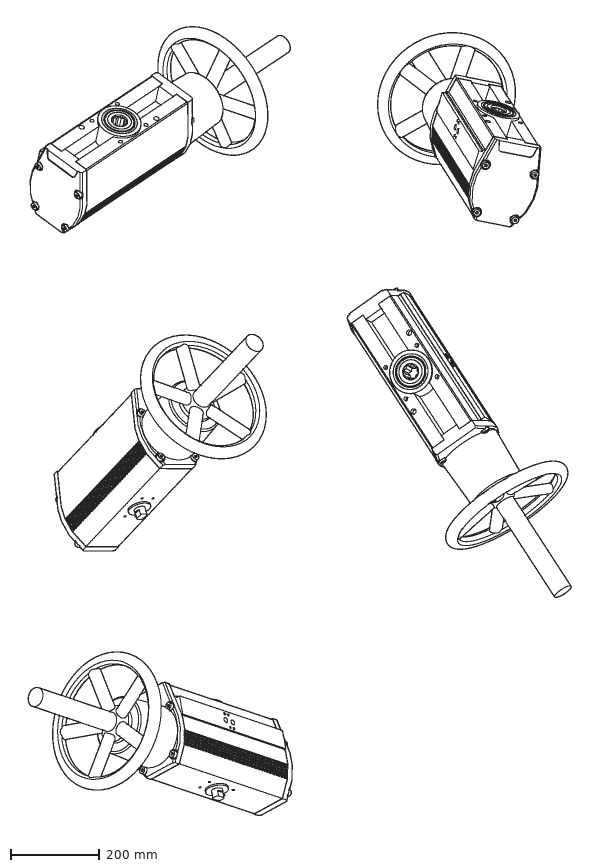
import cadquery as cq
import math


ROLL_ABOUT_Y = 16.0
PITCH_ABOUT_X = 4.2
YAW_ABOUT_Z = -3.6

WHEEL_DIAMETER = 321.0
RIM_OUTER_DEPTH = 15.0
RIM_INNER_DEPTH = 14.0
RIM_THICKNESS = 27.0
RIM_SHOULDER_THICKNESS = 25.0
RIM_INNER_THICKNESS = 13.0
SPOKE_COUNT = 5
SPOKE_START_ANGLE = 12.5
SPOKE_WIDTH = 34.0
SPOKE_THICKNESS = 21.0
HUB_RADIUS = 42.5
HUB_COLLAR_LENGTH = 11.0
HUB_LENGTH = 30.0

TUBE_DIAMETER = 45.0
TUBE_END = 242.0
HOUSING_FRONT = -38.0
HOUSING_FRONT_RADIUS = 66.5
HOUSING_BACK_RADIUS = 72.0
HOUSING_CHAMFER = 4.0

BODY_FRONT = -159.0
BODY_LENGTH = 388.0
PLATE_THICKNESS = 19.0
PLATE_OVERHANG = 1.0
PLATE_CHAMFER = 4.0
TOP_EDGE_CHAMFER = 2.5
BODY_BACK = BODY_FRONT - BODY_LENGTH
BODY_MIDDLE = BODY_FRONT - BODY_LENGTH / 2
MIDDLE_LENGTH = BODY_LENGTH - 2 * PLATE_THICKNESS
TOP_Z = 115.0
BOTTOM_Z = -84.0
MIDDLE_BOTTOM_Z = BOTTOM_Z + PLATE_OVERHANG
TOP_HALF_WIDTH = 56.0
SIDE_HALF_WIDTH = 77.0
SIDE_TOP_Z = 21.0
FIN_TOP_Z = -10.0
FIN_BOTTOM_Z = -45.0
FIN_BOTTOM_HALF_WIDTH = 68.0
BOTTOM_HALF_WIDTH = 44.0
FIN_GROOVE_COUNT = 5
FIN_GROOVE_WIDTH = 4.0
FIN_GROOVE_DEPTH = 4.0

CHANNEL_WIDTH = 43.0
CHANNEL_DEPTH = 48.0
TONGUE_LENGTH = 12.0

FLANGE_RINGS = ((50.0, 5.0), (41.0, 6.0), (27.0, 6.5))
FLANGE_GROOVE_RADIUS = 34.5
FLANGE_GROOVE_WIDTH = 2.5
BORE_SQUARE = 26.0
BORE_DEPTH = 48.0
BORE_ENTRY_RADIUS = 18.5
BORE_ENTRY_DEPTH = 5.0
BOLT_SPACING = 87.5
BOLT_HOLE_DIAMETER = 9.0
PIN_OFFSET_X = 45.0
PIN_OFFSET_Y = 79.0
PIN_HOLE_DIAMETER = 12.0
HOLE_DEPTH = 16.0

PAD_X = -79.0
PAD_TOP_Z = 74.0
PAD_BOTTOM_Z = 27.0
PAD_STEP_X = -70.0
PAD_STEP_HEIGHT = 4.0
PORT_Y = -342.0
PORT_SPACING = 24.0
PORT_DIAMETER = 12.0
VALVE_SCREW_OFFSET_Y = 12.0
VALVE_SCREW_OFFSET_Z = 16.0
VALVE_SCREW_DIAMETER = 5.0

BEARING_RADIUS = 26.5
BEARING_HEIGHT = 4.0
PINION_RADIUS = 13.0
PINION_HEIGHT = 24.0
PINION_FLAT_WIDTH = 18.0
PINION_FLAT_HEIGHT = 13.0
BOTTOM_HOLE_SPACING_X = 30.0
BOTTOM_HOLE_SPACING_Y = 80.0
BOTTOM_HOLE_DIAMETER = 5.0

UPPER_SCREW = (60.0, 50.5)
LOWER_SCREW = (46.5, -65.0)
SCREW_HEAD_RADIUS = 8.0
SCREW_POCKET_RADIUS = 11.0
SCREW_POCKET_DEPTH = 5.0
SCREW_PROTRUSION = 4.0
SOCKET_SIDES = 6
SOCKET_WIDTH = 6.5
SOCKET_DEPTH = 4.0
LABEL_HALF_WIDTH = 46.5
LABEL_HALF_WIDTH_LOW = 40.0
LABEL_CORNER_RADIUS = 8.0
LABEL_BOTTOM_Z = 89.0
LABEL_HEIGHT = 2.5


def section_plane(y):
    """Workplane across the spindle axis; extrusions run towards -Y."""
    return cq.Workplane("XZ", origin=(0, y, 0))


def cylinder_along_z(radius, height, bottom):
    plane = cq.Workplane("XY", origin=(0, BODY_MIDDLE, bottom))
    return plane.circle(radius).extrude(height)


def make_handwheel():
    outer_radius = WHEEL_DIAMETER / 2
    rim_radius = outer_radius - RIM_OUTER_DEPTH
    inner_radius = rim_radius - RIM_INNER_DEPTH
    shoulder_radius = (rim_radius + inner_radius) / 2
    wheel = (
        cq.Workplane("XY")
        .moveTo(rim_radius, -RIM_THICKNESS / 2)
        .threePointArc((outer_radius, 0), (rim_radius, RIM_THICKNESS / 2))
        .lineTo(shoulder_radius, RIM_SHOULDER_THICKNESS / 2)
        .lineTo(inner_radius, RIM_INNER_THICKNESS / 2)
        .lineTo(inner_radius, -RIM_INNER_THICKNESS / 2)
        .lineTo(shoulder_radius, -RIM_SHOULDER_THICKNESS / 2)
        .close()
        .revolve(360, (0, 0, 0), (0, 1, 0))
    )
    hub = (
        cq.Workplane("XY")
        .moveTo(0, HOUSING_FRONT)
        .lineTo(HUB_RADIUS, HOUSING_FRONT)
        .lineTo(HUB_RADIUS, HOUSING_FRONT + HUB_COLLAR_LENGTH)
        .lineTo(TUBE_DIAMETER / 2, HOUSING_FRONT + HUB_LENGTH)
        .lineTo(0, HOUSING_FRONT + HUB_LENGTH)
        .close()
        .revolve(360, (0, 0, 0), (0, 1, 0))
    )
    wheel = wheel.union(hub)
    hub_y = HOUSING_FRONT + HUB_COLLAR_LENGTH
    spoke_plane = cq.Plane(origin=(0, hub_y, 0), xDir=(0, 0, 1), normal=(rim_radius, -hub_y, 0))
    spoke = (
        cq.Workplane(spoke_plane)
        .ellipse(SPOKE_WIDTH / 2, SPOKE_THICKNESS / 2)
        .extrude(math.hypot(rim_radius, hub_y))
    )
    for index in range(SPOKE_COUNT):
        angle = SPOKE_START_ANGLE + index * 360 / SPOKE_COUNT
        wheel = wheel.union(spoke.rotate((0, 0, 0), (0, 1, 0), -angle))
    return wheel


def make_spindle_housing():
    tube = section_plane(TUBE_END).circle(TUBE_DIAMETER / 2).extrude(TUBE_END - HOUSING_FRONT)
    housing = (
        cq.Workplane("XY")
        .moveTo(0, HOUSING_FRONT)
        .lineTo(HOUSING_FRONT_RADIUS - HOUSING_CHAMFER, HOUSING_FRONT)
        .lineTo(HOUSING_FRONT_RADIUS, HOUSING_FRONT - HOUSING_CHAMFER)
        .lineTo(HOUSING_BACK_RADIUS, BODY_FRONT)
        .lineTo(0, BODY_FRONT)
        .close()
        .revolve(360, (0, 0, 0), (0, 1, 0))
    )
    return tube.union(housing)


def body_outline(y):
    right_side = [
        (TOP_HALF_WIDTH, TOP_Z),
        (SIDE_HALF_WIDTH, SIDE_TOP_Z),
        (SIDE_HALF_WIDTH, FIN_TOP_Z),
        (FIN_BOTTOM_HALF_WIDTH, FIN_BOTTOM_Z),
        (BOTTOM_HALF_WIDTH, BOTTOM_Z),
    ]
    left_side = [(-x, z) for x, z in reversed(right_side)]
    return section_plane(y).polyline(right_side + left_side).close()


def make_middle_section():
    outline = body_outline(BODY_FRONT - PLATE_THICKNESS).offset2D(-PLATE_OVERHANG)
    section = outline.extrude(MIDDLE_LENGTH)
    return section.edges("|Y").edges(">Z").chamfer(TOP_EDGE_CHAMFER)


def make_end_plates():
    """End plates with chamfered sides and a tongue reaching into the channel."""
    front = body_outline(BODY_FRONT).extrude(PLATE_THICKNESS)
    front = front.faces(">Y").edges("not |X").chamfer(PLATE_CHAMFER)
    tongue = channel_block(TONGUE_LENGTH).translate(
        (0, BODY_FRONT - PLATE_THICKNESS - TONGUE_LENGTH / 2, 0)
    )
    front = front.union(tongue)
    return front.union(front.mirror("XZ", (0, BODY_MIDDLE, 0)))


def make_fin_grooves():
    """Lengthwise grooves in the fin faces of both sides, between the end plates."""
    centres = []
    for index in range(FIN_GROOVE_COUNT):
        fraction = (index + 0.5) / FIN_GROOVE_COUNT
        x = SIDE_HALF_WIDTH + fraction * (FIN_BOTTOM_HALF_WIDTH - SIDE_HALF_WIDTH)
        z = FIN_TOP_Z + fraction * (FIN_BOTTOM_Z - FIN_TOP_Z)
        centres += [(x, z), (-x, z)]
    return (
        section_plane(BODY_FRONT - PLATE_THICKNESS)
        .pushPoints(centres)
        .rect(2 * FIN_GROOVE_DEPTH, FIN_GROOVE_WIDTH)
        .extrude(MIDDLE_LENGTH)
    )


def channel_block(length):
    """Block with the channel's section, reaching up to the top of the end plates."""
    block = cq.Workplane("XY").box(CHANNEL_WIDTH, length, CHANNEL_DEPTH, centered=(True, True, False))
    return block.translate((0, 0, TOP_Z - CHANNEL_DEPTH))


def add_mounting_flange(body):
    flange_bottom = TOP_Z - CHANNEL_DEPTH
    for radius, height in FLANGE_RINGS:
        body = body.union(cylinder_along_z(radius, CHANNEL_DEPTH + height, flange_bottom))
    groove = (
        cq.Workplane("XY", origin=(0, BODY_MIDDLE, TOP_Z))
        .circle(FLANGE_GROOVE_RADIUS + FLANGE_GROOVE_WIDTH / 2)
        .circle(FLANGE_GROOVE_RADIUS - FLANGE_GROOVE_WIDTH / 2)
        .extrude(FLANGE_RINGS[1][1])
    )
    body = body.cut(groove)
    bore_top = TOP_Z + FLANGE_RINGS[-1][1]
    body = body.cut(cylinder_along_z(BORE_ENTRY_RADIUS, BORE_ENTRY_DEPTH, bore_top - BORE_ENTRY_DEPTH))
    for angle in (0, 45):
        square = (
            cq.Workplane("XY", origin=(0, BODY_MIDDLE, bore_top))
            .transformed(rotate=(0, 0, angle))
            .rect(BORE_SQUARE, BORE_SQUARE)
            .extrude(-BORE_DEPTH)
        )
        body = body.cut(square)
    face = cq.Workplane("XY", origin=(0, BODY_MIDDLE, TOP_Z))
    bolts = face.rect(BOLT_SPACING, BOLT_SPACING, forConstruction=True).vertices()
    body = body.cut(bolts.circle(BOLT_HOLE_DIAMETER / 2).extrude(-HOLE_DEPTH))
    pins = face.pushPoints([(PIN_OFFSET_X, PIN_OFFSET_Y), (-PIN_OFFSET_X, -PIN_OFFSET_Y)])
    return body.cut(pins.circle(PIN_HOLE_DIAMETER / 2).extrude(-HOLE_DEPTH))


def pad_block(outer_x, bottom_z, top_z):
    """Lengthwise strip on the -X side, rooted inside the body clear of the channel."""
    strip = cq.Workplane("XY").box(
        -TOP_HALF_WIDTH - outer_x, MIDDLE_LENGTH, top_z - bottom_z, centered=(False, True, False)
    )
    return strip.translate((outer_x, BODY_MIDDLE, bottom_z))


def add_valve_pad(body):
    body = body.union(pad_block(PAD_X, PAD_BOTTOM_Z, PAD_TOP_Z))
    body = body.union(pad_block(PAD_STEP_X, PAD_BOTTOM_Z, PAD_TOP_Z + PAD_STEP_HEIGHT))
    face = cq.Workplane("YZ", origin=(PAD_X, PORT_Y, (PAD_TOP_Z + PAD_BOTTOM_Z) / 2))
    ports = face.rarray(PORT_SPACING, 8, 2, 1).circle(PORT_DIAMETER / 2).extrude(HOLE_DEPTH)
    screw_points = [
        (VALVE_SCREW_OFFSET_Y, VALVE_SCREW_OFFSET_Z),
        (0, VALVE_SCREW_OFFSET_Z),
        (0, -VALVE_SCREW_OFFSET_Z),
        (-VALVE_SCREW_OFFSET_Y, -VALVE_SCREW_OFFSET_Z),
    ]
    screws = face.pushPoints(screw_points).circle(VALVE_SCREW_DIAMETER / 2).extrude(HOLE_DEPTH)
    return body.cut(ports).cut(screws)


def make_pinion():
    bearing = cylinder_along_z(BEARING_RADIUS, BEARING_HEIGHT, MIDDLE_BOTTOM_Z - BEARING_HEIGHT)
    tip_z = MIDDLE_BOTTOM_Z - PINION_HEIGHT
    shaft = cylinder_along_z(PINION_RADIUS, PINION_HEIGHT, tip_z)
    flats = (
        cq.Workplane("XY", origin=(0, BODY_MIDDLE, tip_z))
        .rect(2 * PINION_RADIUS, 2 * PINION_RADIUS)
        .rect(PINION_FLAT_WIDTH, 2 * PINION_RADIUS)
        .extrude(PINION_FLAT_HEIGHT)
    )
    return bearing.union(shaft.cut(flats))


def make_bottom_holes():
    return (
        cq.Workplane("XY", origin=(0, BODY_MIDDLE, MIDDLE_BOTTOM_Z))
        .rarray(BOTTOM_HOLE_SPACING_X, BOTTOM_HOLE_SPACING_Y, 2, 2)
        .circle(BOTTOM_HOLE_DIAMETER / 2)
        .extrude(HOLE_DEPTH)
    )


def add_end_screws(body):
    """Cap screws in round corner pockets on both end plates."""
    points = [(side * x, z) for x, z in (UPPER_SCREW, LOWER_SCREW) for side in (1, -1)]
    for end_y, outward in ((BODY_FRONT, -1), (BODY_BACK, 1)):
        plane = section_plane(end_y).pushPoints(points)
        body = body.cut(plane.circle(SCREW_POCKET_RADIUS).extrude(-outward * SCREW_POCKET_DEPTH))
        floor = section_plane(end_y + outward * SCREW_POCKET_DEPTH).pushPoints(points)
        head_length = outward * (SCREW_POCKET_DEPTH + SCREW_PROTRUSION)
        body = body.union(floor.circle(SCREW_HEAD_RADIUS).extrude(head_length))
        head_top = section_plane(end_y - outward * SCREW_PROTRUSION).pushPoints(points)
        body = body.cut(head_top.polygon(SOCKET_SIDES, SOCKET_WIDTH).extrude(-outward * SOCKET_DEPTH))
    return body


def make_label():
    label = (
        section_plane(BODY_BACK)
        .moveTo(-LABEL_HALF_WIDTH, TOP_Z)
        .lineTo(LABEL_HALF_WIDTH, TOP_Z)
        .lineTo(LABEL_HALF_WIDTH_LOW, LABEL_BOTTOM_Z)
        .lineTo(-LABEL_HALF_WIDTH_LOW, LABEL_BOTTOM_Z)
        .close()
        .extrude(LABEL_HEIGHT)
    )
    return label.edges("|Y").edges("<Z").fillet(LABEL_CORNER_RADIUS)


body = make_middle_section().cut(make_fin_grooves())
body = body.cut(channel_block(MIDDLE_LENGTH).translate((0, BODY_MIDDLE, 0)))
body = body.union(make_end_plates())
body = add_mounting_flange(body)
body = add_valve_pad(body)
body = body.union(make_pinion()).cut(make_bottom_holes()).union(make_label())
body = add_end_screws(body)

assembly = body.union(make_spindle_housing()).union(make_handwheel())
result = (
    assembly.rotate((0, 0, 0), (0, 1, 0), ROLL_ABOUT_Y)
    .rotate((0, 0, 0), (1, 0, 0), PITCH_ABOUT_X)
    .rotate((0, 0, 0), (0, 0, 1), YAW_ABOUT_Z)
)